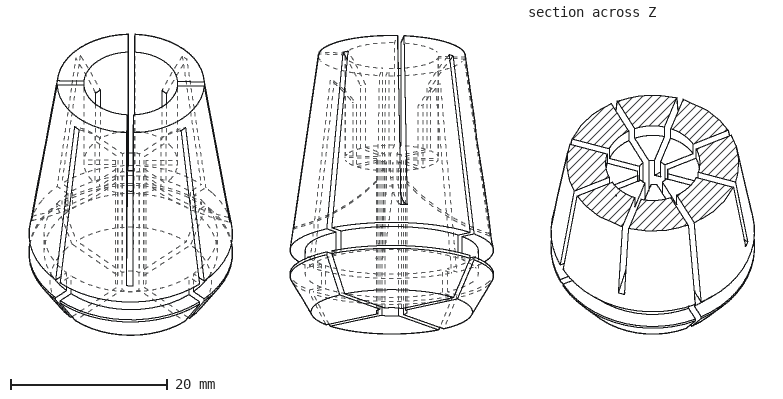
import cadquery as cq
import math

height = 34.0
max_radius = 13.0
top_radius = 9.4
bottom_radius = 10.3
groove_radius = 11.05
flange_bevel_height = 4.73
groove_bottom = 5.1
groove_top = 8.15

bore_radius = 6.0
hole_radius = 1.97
bore_depth = 13.6

slot_width = 0.8
blade_radius = 23.8
slot_count = 4
slot_spacing = 360.0 / slot_count
upper_slot_floor_inner = 17.25
upper_slot_floor_outer = 10.65
lower_slot_roof_inner = 28.73
lower_slot_roof_outer = 32.37
clearance = 1.7


def cone_radius(z):
    """Outside radius of the long taper at height z."""
    return max_radius + (top_radius - max_radius) * (z - groove_top) / (height - groove_top)


def blade_center(inner, outer, side):
    """Blade centre for an edge through two (radius, z) points, above (side 1) or below (side -1) them."""
    dr = outer[0] - inner[0]
    dz = outer[1] - inner[1]
    chord = math.hypot(dr, dz)
    offset = side * math.sqrt(blade_radius**2 - (chord / 2)**2)
    return (
        (inner[0] + outer[0]) / 2 - offset * dz / chord,
        (inner[1] + outer[1]) / 2 + offset * dr / chord,
    )


def make_body():
    outline = [
        (0, 0),
        (bottom_radius, 0),
        (max_radius, flange_bevel_height),
        (max_radius, groove_bottom),
        (groove_radius, groove_bottom),
        (groove_radius, groove_top),
        (max_radius, groove_top),
        (top_radius, height),
        (0, height),
    ]
    body = cq.Workplane("XZ").polyline(outline).close().revolve(360, (0, 0, 0), (0, 1, 0))
    body = body.faces(">Z").workplane().hole(2 * hole_radius)
    return body.faces(">Z").workplane().hole(2 * bore_radius, bore_depth)


def make_upper_slot():
    """Slot open at the top, sunk with the full round of the blade."""
    inner = (hole_radius, upper_slot_floor_inner)
    outer = (cone_radius(upper_slot_floor_outer), upper_slot_floor_outer)
    center = blade_center(inner, outer, 1)
    return cq.Workplane("XZ").center(*center).circle(blade_radius).extrude(slot_width / 2, both=True)


def make_lower_slot():
    """Slot open at the bottom, with a blade-round roof rising from the bore to the outside."""
    inner = (bore_radius, lower_slot_roof_inner)
    outer = (cone_radius(lower_slot_roof_outer), lower_slot_roof_outer)
    center_r, center_z = blade_center(inner, outer, -1)
    end_r = max_radius + clearance
    end_z = center_z + math.sqrt(blade_radius**2 - (end_r - center_r)**2)
    middle_r = (bore_radius + end_r) / 2
    middle_z = center_z + math.sqrt(blade_radius**2 - (middle_r - center_r)**2)
    return (
        cq.Workplane("XZ")
        .moveTo(0, -clearance)
        .lineTo(end_r, -clearance)
        .lineTo(end_r, end_z)
        .threePointArc((middle_r, middle_z), inner)
        .lineTo(0, lower_slot_roof_inner)
        .close()
        .extrude(slot_width / 2, both=True)
    )


result = make_body()
lower_slot = make_lower_slot()
upper_slot = make_upper_slot()
for index in range(slot_count):
    angle = index * slot_spacing
    result = result.cut(lower_slot.rotate((0, 0, 0), (0, 0, 1), angle))
    result = result.cut(upper_slot.rotate((0, 0, 0), (0, 0, 1), angle + slot_spacing / 2))